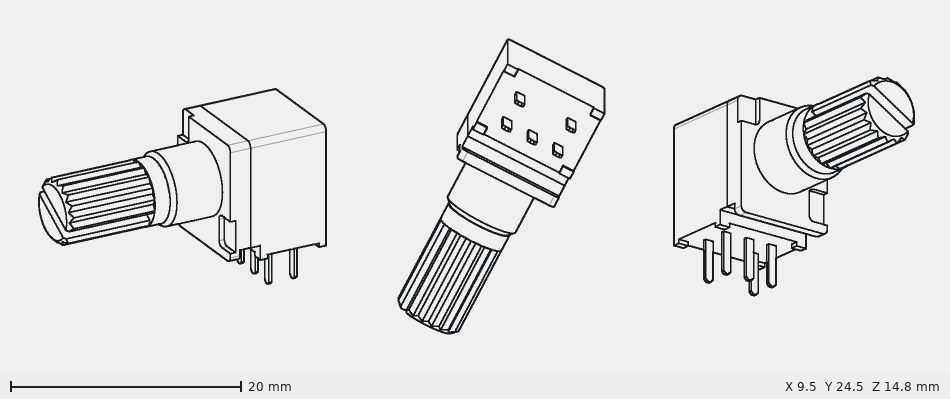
import cadquery as cq
import math


TOTAL_LENGTH = 24.5
TOTAL_HEIGHT = 14.85

BODY_WIDTH = 9.5
BODY_DEPTH = 9.5
COVER_DEPTH = 2.0
TOP_Z = 4.85
BODY_HEIGHT = 11.0
BOTTOM_Z = TOP_Z - BODY_HEIGHT
EDGE_RADIUS = 0.51

NOTCH_FRONT_Y = 0.95
NOTCH_BACK_Y = 3.0
NOTCH_TOP_Z = -5.15

FOOT_WIDTH = 1.05
FOOT_LENGTH = 0.7
FOOT_HEIGHT = 0.37

RECESS_WIDTH = 2.0
RECESS_DEPTH = 0.51
RECESS_RADIUS = 0.5
UPPER_RECESS_BOTTOM_Z = 2.25
LOWER_RECESS_TOP_Z = -2.25
LOWER_RECESS_BOTTOM_Z = -5.27

BUSHING_DIAMETER = 6.7
BUSHING_LENGTH = 5.0
BUSHING_CHAMFER = 0.5

SHAFT_DIAMETER = 6.0
SHAFT_TIP_Y = BODY_DEPTH - TOTAL_LENGTH
SHAFT_TIP_CHAMFER = 0.5
NECK_LENGTH = 1.5
NECK_END_Y = -BUSHING_LENGTH - NECK_LENGTH
TOOTH_COUNT = 18
TOOTH_ROOT_DIAMETER = 5.4
SLOT_WIDTH = 1.0
SLOT_ANGLE = 30.0

PIN_WIDTH = 0.8
PIN_THICKNESS = 0.3
PIN_TIP_Z = TOP_Z - TOTAL_HEIGHT
PIN_TIP_CHAMFER = 0.25
PIN_PITCH = 2.5
FRONT_ROW_Y = 5.0
REAR_ROW_Y = 7.5


def box_between(x_range, y_range, z_range):
    """Box spanning the given (low, high) range along each axis."""
    sizes = [high - low for low, high in (x_range, y_range, z_range)]
    corner = (x_range[0], y_range[0], z_range[0])
    return cq.Workplane("XY").box(*sizes, centered=False).translate(corner)


def cylinder_along_y(diameter, back_y, front_y):
    """Cylinder on the shaft axis from back_y forward to front_y."""
    return cq.Workplane("XZ", origin=(0, back_y, 0)).circle(diameter / 2).extrude(back_y - front_y)


def body_block(back_y, front_y):
    """Slice of the body block with rounded upper edges."""
    half_width = BODY_WIDTH / 2
    block = box_between((-half_width, half_width), (front_y, back_y), (BOTTOM_Z, TOP_Z))
    return block.edges("|Y and >Z").fillet(EDGE_RADIUS)


def cross_notch():
    """Cutter for the notch across the whole width of the underside."""
    return box_between(
        (-BODY_WIDTH, BODY_WIDTH),
        (NOTCH_FRONT_Y, NOTCH_BACK_Y),
        (BOTTOM_Z - FOOT_HEIGHT, NOTCH_TOP_Z),
    )


def make_housing():
    """Rear housing standing on four corner feet."""
    housing = body_block(BODY_DEPTH, COVER_DEPTH)
    outer_x = BODY_WIDTH / 2
    inner_x = outer_x - FOOT_WIDTH
    foot_z = (BOTTOM_Z - FOOT_HEIGHT, BOTTOM_Z)
    for foot_x in ((-outer_x, -inner_x), (inner_x, outer_x)):
        for foot_y in (NOTCH_BACK_Y, BODY_DEPTH - FOOT_LENGTH):
            housing = housing.union(box_between(foot_x, (foot_y, foot_y + FOOT_LENGTH), foot_z))
    return housing.cut(cross_notch())


def upper_left_recess():
    """Cutter for the recess that opens to the left side and the top of the cover."""
    recess = box_between(
        (-BODY_WIDTH / 2, RECESS_WIDTH - BODY_WIDTH / 2),
        (0, RECESS_DEPTH),
        (UPPER_RECESS_BOTTOM_Z, TOP_Z),
    )
    return recess.edges("|Y and >X and <Z").fillet(RECESS_RADIUS)


def lower_right_recess():
    """Cutter for the recess that opens to the right side of the cover."""
    recess = box_between(
        (BODY_WIDTH / 2 - RECESS_WIDTH, BODY_WIDTH / 2),
        (0, RECESS_DEPTH),
        (LOWER_RECESS_BOTTOM_Z, LOWER_RECESS_TOP_Z),
    )
    return recess.edges("|Y and <X").fillet(RECESS_RADIUS)


def make_cover():
    """Front cover with its recesses and the chamfered bushing."""
    cover = body_block(COVER_DEPTH, 0).edges("|Y and <Z").fillet(EDGE_RADIUS)
    cover = cover.cut(cross_notch()).cut(upper_left_recess()).cut(lower_right_recess())
    bushing = cylinder_along_y(BUSHING_DIAMETER, 0, -BUSHING_LENGTH)
    return cover.union(bushing.faces("<Y").chamfer(BUSHING_CHAMFER))


def serration_outline():
    """Points of the star-shaped serrated section, with a crest pointing straight up."""
    half_pitch = math.pi / TOOTH_COUNT
    points = []
    for step in range(2 * TOOTH_COUNT):
        diameter = SHAFT_DIAMETER if step % 2 == 0 else TOOTH_ROOT_DIAMETER
        angle = math.pi / 2 + step * half_pitch
        points.append((diameter / 2 * math.cos(angle), diameter / 2 * math.sin(angle)))
    return points


def make_shaft():
    """Shaft that butts against the bushing, serrated and slotted beyond its neck."""
    serrated_length = NECK_END_Y - SHAFT_TIP_Y
    neck = cylinder_along_y(SHAFT_DIAMETER, -BUSHING_LENGTH, NECK_END_Y)
    serrated_plane = cq.Workplane("XZ", origin=(0, NECK_END_Y, 0))
    serrated_end = serrated_plane.polyline(serration_outline()).close().extrude(serrated_length)
    envelope = cylinder_along_y(SHAFT_DIAMETER, NECK_END_Y, SHAFT_TIP_Y)
    serrated_end = serrated_end.intersect(envelope.faces("<Y").chamfer(SHAFT_TIP_CHAMFER))
    slot = box_between(
        (-SHAFT_DIAMETER, SHAFT_DIAMETER),
        (SHAFT_TIP_Y, NECK_END_Y),
        (-SLOT_WIDTH / 2, SLOT_WIDTH / 2),
    ).rotate((0, 0, 0), (0, 1, 0), SLOT_ANGLE)
    return neck.union(serrated_end.cut(slot))


def make_pin(x, y):
    """Flat terminal pin hanging from the housing underside, with a chamfered tip."""
    pin = box_between(
        (x - PIN_WIDTH / 2, x + PIN_WIDTH / 2),
        (y - PIN_THICKNESS / 2, y + PIN_THICKNESS / 2),
        (PIN_TIP_Z, BOTTOM_Z),
    )
    return pin.edges("|Y and <Z").chamfer(PIN_TIP_CHAMFER)


housing = make_housing()
cover = make_cover()
shaft = make_shaft()

pin_places = [(column * PIN_PITCH, FRONT_ROW_Y) for column in (-1, 0, 1)]
pin_places += [(column * PIN_PITCH, REAR_ROW_Y) for column in (-1, 1)]
pins = [make_pin(x, y) for x, y in pin_places]

result = cq.Compound.makeCompound(
    [housing.val(), cover.val(), shaft.val(), *[pin.val() for pin in pins]]
)